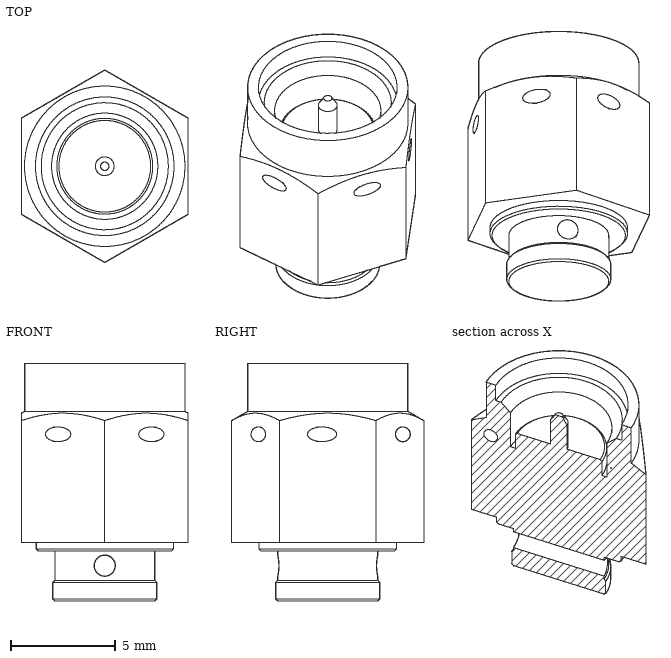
import cadquery as cq
import math

total_height = 11.4
ring_top = 1.0
flange_bottom = 2.4
hex_bottom = 2.8
collar_bottom = 9.1
wire_hole_height = 8.0
neck_hole_height = 1.7

hex_sides = 6
hex_across_flats = 8.0
hex_corner_radius = hex_across_flats / 2 / math.cos(math.pi / hex_sides)
hex_bevel_angle = math.radians(30)

ring_diameter = 5.0
neck_diameter = 4.8
flange_diameter = 6.6
collar_diameter = 7.7
edge_chamfer = 0.1

mouth_diameter = 6.65
mouth_depth = 1.0
countersink_diameter = 6.1
bore_diameter = 5.1
sleeve_diameter = 4.6
sleeve_top = 8.7
sleeve_chamfer = 0.1
sleeve_gap_depth = 1.0

pin_diameter = 0.9
pin_tip_diameter = 0.4
pin_length = 2.0
pin_taper_length = 0.45

wire_hole_diameter = 0.7
wire_hole_offset = 3.6
wire_hole_count = hex_sides // 2
neck_hole_diameter = 1.0


def disc(diameter, bottom, top):
    """Cylinder on the Z axis between two heights."""
    return cq.Workplane("XY").workplane(offset=bottom).circle(diameter / 2).extrude(top - bottom)


def make_cable_end():
    """Snap ring, neck and flange below the hexagon."""
    ring = disc(ring_diameter, 0, ring_top).edges().chamfer(edge_chamfer)
    neck = disc(neck_diameter, 0, hex_bottom)
    flange = disc(flange_diameter, flange_bottom, hex_bottom).edges("<Z").chamfer(edge_chamfer)
    return ring.union(neck).union(flange)


def make_hex_body():
    """Hexagonal prism with its top corners turned off by a cone that starts at the collar."""
    hexagon = (
        cq.Workplane("XY")
        .workplane(offset=hex_bottom)
        .polygon(hex_sides, 2 * hex_corner_radius)
        .extrude(collar_bottom - hex_bottom)
        .rotate((0, 0, 0), (0, 0, 1), 180 / hex_sides)
    )
    bevel_drop = (hex_corner_radius - collar_diameter / 2) * math.tan(hex_bevel_angle)
    envelope = (
        cq.Workplane("XZ")
        .moveTo(0, hex_bottom)
        .lineTo(hex_corner_radius, hex_bottom)
        .lineTo(hex_corner_radius, collar_bottom - bevel_drop)
        .lineTo(collar_diameter / 2, collar_bottom)
        .lineTo(0, collar_bottom)
        .close()
        .revolve(360, (0, 0), (0, 1))
    )
    return hexagon.intersect(envelope)


def make_socket():
    """Cavity with a stepped, countersunk mouth and a gap around the inner sleeve."""
    mouth_floor = total_height - mouth_depth
    countersink_depth = (countersink_diameter - bore_diameter) / 2
    gap_floor = sleeve_top - sleeve_gap_depth
    cavity = (
        cq.Workplane("XZ")
        .moveTo(0, gap_floor)
        .lineTo(bore_diameter / 2, gap_floor)
        .lineTo(bore_diameter / 2, mouth_floor - countersink_depth)
        .lineTo(countersink_diameter / 2, mouth_floor)
        .lineTo(mouth_diameter / 2, mouth_floor)
        .lineTo(mouth_diameter / 2, total_height)
        .lineTo(0, total_height)
        .close()
        .revolve(360, (0, 0), (0, 1))
    )
    sleeve = disc(sleeve_diameter, gap_floor, sleeve_top).edges(">Z").chamfer(sleeve_chamfer)
    return cavity.cut(sleeve)


def make_pin():
    """Center contact with a tapered tip, rooted in the sleeve."""
    root = sleeve_top - sleeve_gap_depth
    tip = sleeve_top + pin_length
    taper_run = (pin_diameter - pin_tip_diameter) / 2
    return disc(pin_diameter, root, tip).edges(">Z").chamfer(pin_taper_length, taper_run)


def make_wire_holes():
    """Locking-wire holes cutting across alternate hexagon corners."""
    hole = (
        cq.Workplane("YZ")
        .center(wire_hole_offset, wire_hole_height)
        .circle(wire_hole_diameter / 2)
        .extrude(hex_corner_radius, both=True)
    )
    holes = cq.Workplane("XY")
    for index in range(wire_hole_count):
        angle = index * 360 / wire_hole_count
        holes = holes.add(hole.rotate((0, 0, 0), (0, 0, 1), angle))
    return holes.combine()


def make_neck_hole():
    """Hole through the neck along Y."""
    return (
        cq.Workplane("XZ")
        .center(0, neck_hole_height)
        .circle(neck_hole_diameter / 2)
        .extrude(neck_diameter, both=True)
    )


collar = disc(collar_diameter, collar_bottom, total_height)
body = make_cable_end().union(make_hex_body()).union(collar)
body = body.cut(make_socket()).union(make_pin())
result = body.cut(make_wire_holes()).cut(make_neck_hole())